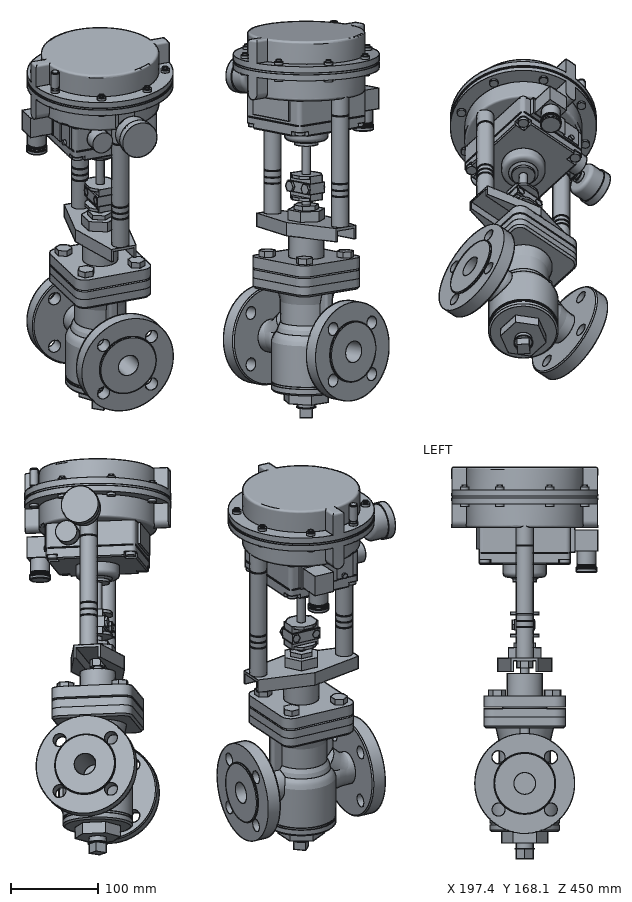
import cadquery as cq
import math


stem_dia = 10
stem_seat_depth = 5
groove_width = 1.2
groove_depth = 0.6
cut_margin = 1

casing_top_z = 363.4
casing_bottom_z = 293.7
casing_dia = 135
casing_edge_fillet = 2.8
rim_dia = 168
rim_top_z = 337.2
rim_bottom_z = 320.8
rim_gap_z = 328.8
rim_gap_width = 2.2
rim_gap_depth = 0.8
rib_width = 15

screw_count = 8
screw_circle_dia = 149.5
screw_head_dia = 10
screw_head_height = 3
screw_tip_dia = 6
screw_tip_height = 5.5
screw_socket_dia = 4
screw_socket_depth = 2
tall_stud_dia = 9.6
tall_stud_end_dia = 8
tall_stud_end_height = 1.5
tall_stud_angle = 292.5

box_x = 92
box_y = 105
box_bottom_z = 251.5
box_corner_radius = 5
box_seam_z = 264.8
box_bottom_chamfer = 1.5
box_notch = 13.5
box_notch_height = 5.5
box_screw_dia = 12
box_screw_bottom_z = 253
hub_dia = 50
hub_bottom_z = 236.8
hub_fillet = 5
hub_collar_top_dia = 34
hub_collar_dia = 27
hub_collar_height = 5.2
hub_collar_cone_height = 2

front_panel_edges_x = (-34.3, -5.2, 14.3, 37)
front_panel_faces_y = (-57.5, -56.5, -54.5)
front_panel_bottom_z = 265.5
knob_x = 24.7
knob_z = 269
knob_dia = 6
back_plate_y = 55.3
back_plate_width = 60
back_plate_bottom_z = 269
conduit_dia = 25
conduit_neck_dia = 22
conduit_start_x = 48
conduit_end_x = 64.2
conduit_y = -25
conduit_z = 279.3

connector_x = -19.3
connector_width = 24.8
connector_outer_y = -84.05
connector_top_z = 291.2
connector_bottom_z = 266.8
gland_y = -71
gland_dia = 22
gland_bottom_z = 242.4
gland_grooves_z = (251, 246.8)
gland_ring_dia = 24
gland_ring_height = 6.8
gland_ring_chamfer = 1
gland_groove_depth = 1

gauge_z = 298.8
gauge_end_x = 113.41
gauge_body_dia = 40
gauge_body_start_x = 85.8
gauge_rim_dia = 43
gauge_rim_length = 8.8
gauge_body_fillet = 4.5
gauge_neck_dia = 10
gauge_nut_dia = 15
gauge_nut_length = 4
gauge_washer_dia = 20
gauge_washer_end_x = 76.8
gauge_washer_length = 1.5
gauge_block_width = 20
gauge_block_bottom_z = 291.4
gauge_block_fillet = 7.5

column_dia = 20
column_x = 57.5
column_grooves_z = (273.5, 194.3, 186.5, 179.5)
yoke_top_z = 144
yoke_bottom_z = 128.4
yoke_length = 134.6
yoke_middle_width = 62.4
yoke_end_width = 31
yoke_channel_width = 25.4
yoke_skin = 3.2
yoke_nut_flats = 37.4
yoke_nut_height = 12
lock_nut_flats = 25
lock_nut_height = 5.3
lower_nut_flats = 16
lower_nut_height = 8

coupling_top_z = 197
coupling_bottom_z = 168
coupling_half_x = 17.4
coupling_half_y = 16.4
coupling_plate = 3.5
coupling_core_y = 18
clamp_half_x = 18.5
clamp_depth = 23
clamp_bottom_z = 176.1
clamp_top_z = 188.5
clamp_bolt_x = 13.3
clamp_bolt_dia = 10
clamp_bolt_head = 0.5
clamp_nut_dia = 13
clamp_nut_height = 3

plate_side = 94
plate_corner_radius = 12.5
neck_dia = 40.6
neck_top_z = 126.4
bonnet_plate_top_z = 100.6
bonnet_plate_bottom_z = 87.6
spacer_dia = 51
lower_plate_top_z = 85.8
joint_z = 76
bolt_spacing = 63.6
bolt_flats = 17
bolt_head_height = 6.8

body_plate_bottom_z = 63.7
body_plate_chamfer = 2.5
cone_top_radius = 33.2
throat_radius = 29.5
cone_bottom_z = 48.8
throat_bottom_z = 24.6
barrel_collar_radius = 32.5
barrel_collar_z = 19.2
shoulder_radius = 34
shoulder_z = 14
shoulder_bulge = 1
body_dia = 80
body_top_z = 2.6
body_bottom_z = -45.2
side_rib_half_x = 40.5
side_rib_fillet = 3
side_rib_width = 10.5
flange_dia = 115
flange_face_x = 78.4
flange_back_x = 61.3
flange_back_chamfer = 1.5
raised_face_dia = 71
raised_face_x = 80.6
raised_face_chamfer = 1
port_dia = 25
port_depth = 60
pipe_dia = 38
pipe_root_dia = 41
pipe_taper_x = 49.6
bolt_circle_dia = 85
flange_hole_dia = 15
flange_hole_count = 4
elbow_dia = 37
elbow_angle = 41
elbow_bend_radius = 37
elbow_straight = 13

cover_bottom_z = -55.4
cover_chamfer = 2
cover_neck_dia = 78
cover_neck_height = 2.4
cover_hex_flats = 46
cover_hex_height = 13.1
drain_dia = 20
drain_collar_dia = 22
drain_collar_z = -75.5
drain_collar_height = 1
drain_bottom_z = -86.6


def cylinder_z(dia, bottom, top, x=0, y=0):
    """Upright cylinder between two heights."""
    return cq.Workplane("XY", (x, y, bottom)).circle(dia / 2).extrude(top - bottom)


def cylinder_x(dia, start, end, y=0, z=0):
    """Cylinder along X between two X positions."""
    return cq.Workplane("YZ", (start, y, z)).circle(dia / 2).extrude(end - start)


def block(x0, x1, y0, y1, z0, z1):
    """Box between two opposite corners."""
    return cq.Workplane("XY").box(x1 - x0, y1 - y0, z1 - z0, False).translate((x0, y0, z0))


def hexagon_z(flats, bottom, height, x=0, y=0):
    """Upright hexagonal prism with two corners on its X axis."""
    corner_dia = flats / math.cos(math.pi / 6)
    return cq.Workplane("XY", (x, y, bottom)).polygon(6, corner_dia).extrude(height)


def ring_groove(dia, depth, width, z, x=0, y=0):
    """Ring to cut from an upright cylinder of the given diameter."""
    ring = cq.Workplane("XY", (x, y, z - width / 2)).circle(dia / 2 + cut_margin).circle(dia / 2 - depth)
    return ring.extrude(width)


def square_plate(bottom, top):
    """Square flange plate with rounded corners."""
    plate = cq.Workplane("XY", (0, 0, bottom)).rect(plate_side, plate_side).extrude(top - bottom)
    return plate.edges("|Z").fillet(plate_corner_radius)


def make_casing():
    casing = cylinder_z(casing_dia, casing_bottom_z, casing_top_z)
    casing = casing.faces("<Z or >Z").edges().fillet(casing_edge_fillet)
    rim = cylinder_z(rim_dia, rim_bottom_z, rim_top_z)
    casing = casing.union(rim).union(make_casing_ribs())
    return casing.cut(ring_groove(rim_dia, rim_gap_depth, rim_gap_width, rim_gap_z))


def make_casing_ribs():
    """Bar across the casing that forms the +Y and -Y ribs, half-round at its lower end."""
    half = rib_width / 2
    outline = (
        cq.Workplane("XZ")
        .moveTo(-half, casing_top_z)
        .lineTo(-half, casing_bottom_z + half)
        .threePointArc((0, casing_bottom_z), (half, casing_bottom_z + half))
        .lineTo(half, casing_top_z)
        .close()
    )
    ribs = outline.extrude(rim_dia / 2, both=True)
    ribs = ribs.intersect(cylinder_z(rim_dia, casing_bottom_z, casing_top_z))
    return ribs.faces(">Z").edges().fillet(casing_edge_fillet)


def make_casing_screw(angle):
    """Screw through the rim with a nut below; a socketed tip or, at one place, a tall stud on top."""
    x = screw_circle_dia / 2 * math.cos(math.radians(angle))
    y = screw_circle_dia / 2 * math.sin(math.radians(angle))
    head_top = rim_top_z + screw_head_height
    tip_top = rim_top_z + screw_tip_height
    screw = cylinder_z(screw_head_dia, rim_bottom_z - screw_head_height, head_top, x, y)
    if angle == tall_stud_angle:
        end_top = casing_top_z - groove_depth
        screw = screw.union(cylinder_z(tall_stud_end_dia, rim_top_z, end_top, x, y))
        tube_top = end_top - tall_stud_end_height
        return screw.union(cylinder_z(tall_stud_dia, tip_top, tube_top, x, y))
    screw = screw.union(cylinder_z(screw_tip_dia, rim_top_z, tip_top, x, y))
    return screw.cut(cylinder_z(screw_socket_dia, tip_top - screw_socket_depth, tip_top, x, y))


def make_positioner_box():
    half_x = box_x / 2
    half_y = box_y / 2
    box = block(-half_x, half_x, -half_y, half_y, box_bottom_z, casing_bottom_z)
    box = box.edges("|Z").fillet(box_corner_radius)
    box = box.faces("<Z").edges().chamfer(box_bottom_chamfer)
    seam = cq.Workplane("XY", (0, 0, box_seam_z - groove_width / 2))
    seam = seam.rect(box_x + 2 * cut_margin, box_y + 2 * cut_margin)
    seam = seam.rect(box_x - 2 * groove_depth, box_y - 2 * groove_depth).extrude(groove_width)
    box = box.cut(seam)
    notch_x = half_x - box_notch / 2
    notch_y = half_y - box_notch / 2
    notch_top = box_bottom_z + box_notch_height
    for side_x in (-1, 1):
        for side_y in (-1, 1):
            x = side_x * notch_x
            y = side_y * notch_y
            notch = cq.Workplane("XY", (x, y, box_bottom_z)).rect(box_notch, box_notch)
            box = box.cut(notch.extrude(box_notch_height))
            box = box.union(cylinder_z(box_screw_dia, box_screw_bottom_z, notch_top, x, y))
    return box


def make_hub():
    """Round stem guide under the box, ending in a short flared collar."""
    collar_bottom_z = hub_bottom_z - hub_collar_height
    hub = cylinder_z(hub_dia, hub_bottom_z, box_bottom_z).faces("<Z").edges().fillet(hub_fillet)
    collar = cylinder_z(hub_collar_dia, collar_bottom_z, hub_bottom_z)
    cone = (
        cq.Workplane("XY", (0, 0, hub_bottom_z))
        .circle(hub_collar_top_dia / 2)
        .workplane(offset=-hub_collar_cone_height)
        .circle(hub_collar_dia / 2)
        .loft()
    )
    return hub.union(collar).union(cone)


def make_box_panels():
    """Raised panels on the front and back of the box, and the conduit entry on its +X side."""
    box_front_y = -box_y / 2
    top = casing_bottom_z
    panels = cylinder_x(conduit_neck_dia, box_x / 2, conduit_start_x, conduit_y, conduit_z)
    panels = panels.union(
        cylinder_x(conduit_dia, conduit_start_x, conduit_end_x, conduit_y, conduit_z)
    )
    for index, face_y in enumerate(front_panel_faces_y):
        left, right = front_panel_edges_x[index:index + 2]
        panels = panels.union(block(left, right, face_y, box_front_y, front_panel_bottom_z, top))
    knob = cq.Workplane("XZ", (knob_x, box_front_y, knob_z)).circle(knob_dia / 2)
    panels = panels.union(knob.extrude(box_front_y - front_panel_faces_y[0]))
    half = back_plate_width / 2
    return panels.union(block(-half, half, box_y / 2, back_plate_y, back_plate_bottom_z, top))


def make_connector():
    left = connector_x - connector_width / 2
    right = connector_x + connector_width / 2
    inner_y = front_panel_faces_y[0]
    connector = block(left, right, connector_outer_y, inner_y, connector_bottom_z, connector_top_z)
    gland = cylinder_z(gland_dia, gland_bottom_z, connector_bottom_z, connector_x, gland_y)
    ring_top_z = gland_bottom_z + gland_ring_height
    ring = cylinder_z(gland_ring_dia, gland_bottom_z, ring_top_z, connector_x, gland_y)
    ring = ring.edges().chamfer(gland_ring_chamfer)
    connector = connector.union(gland).union(ring)
    for z in gland_grooves_z:
        groove = ring_groove(gland_dia, gland_groove_depth, groove_width, z, connector_x, gland_y)
        connector = connector.cut(groove)
    return connector


def make_gauge():
    """Pressure gauge on a block under the rim, with its neck, nut and washer."""
    half = gauge_block_width / 2
    washer_start_x = gauge_washer_end_x - gauge_washer_length
    nut_start_x = gauge_body_start_x - gauge_nut_length
    rim_start_x = gauge_end_x - gauge_rim_length
    inside_x = casing_dia / 2 - casing_edge_fillet
    gauge = block(inside_x, washer_start_x, -half, half, gauge_block_bottom_z, rim_bottom_z)
    gauge = gauge.edges("|X and <Z").fillet(gauge_block_fillet)
    gauge = gauge.union(cylinder_x(gauge_washer_dia, washer_start_x, gauge_washer_end_x, 0, gauge_z))
    gauge = gauge.union(cylinder_x(gauge_neck_dia, gauge_washer_end_x, gauge_body_start_x, 0, gauge_z))
    gauge = gauge.union(cylinder_x(gauge_nut_dia, nut_start_x, gauge_body_start_x, 0, gauge_z))
    dial = cylinder_x(gauge_body_dia, gauge_body_start_x, gauge_end_x, 0, gauge_z)
    dial = dial.faces("<X").edges().fillet(gauge_body_fillet)
    rim = cylinder_x(gauge_rim_dia, rim_start_x, gauge_end_x, 0, gauge_z)
    return gauge.union(dial).union(rim)


def make_column(x):
    column = cylinder_z(column_dia, yoke_top_z, casing_bottom_z + casing_edge_fillet, x)
    for z in column_grooves_z:
        column = column.cut(ring_groove(column_dia, groove_depth, groove_width, z, x))
    return column


def make_yoke():
    """Six-sided plate with a channel along its underside and nuts around the stem."""
    half_length = yoke_length / 2
    half_middle = yoke_middle_width / 2
    half_end = yoke_end_width / 2
    corners = [
        (-half_length, -half_end),
        (0, -half_middle),
        (half_length, -half_end),
        (half_length, half_end),
        (0, half_middle),
        (-half_length, half_end),
    ]
    skin_bottom_z = yoke_top_z - yoke_skin
    yoke = cq.Workplane("XY", (0, 0, yoke_bottom_z)).polyline(corners).close()
    yoke = yoke.extrude(yoke_top_z - yoke_bottom_z)
    half_channel = yoke_channel_width / 2
    yoke = yoke.cut(
        block(-half_length, half_length, -half_channel, half_channel, yoke_bottom_z, skin_bottom_z)
    )
    yoke = yoke.union(hexagon_z(yoke_nut_flats, yoke_top_z, yoke_nut_height))
    yoke = yoke.union(hexagon_z(lock_nut_flats, yoke_top_z + yoke_nut_height, lock_nut_height))
    lower_nut = hexagon_z(lower_nut_flats, skin_bottom_z - lower_nut_height, lower_nut_height)
    return yoke.union(lower_nut.rotate((0, 0, 0), (0, 0, 1), 90))


stem_top_z = hub_bottom_z - hub_collar_height + stem_seat_depth
stem_bottom_z = neck_top_z - stem_seat_depth

actuator = make_casing()
for index in range(screw_count):
    actuator = actuator.union(make_casing_screw((index + 0.5) * 360 / screw_count))
actuator = actuator.union(make_positioner_box()).union(make_hub()).union(make_box_panels())
actuator = actuator.union(make_connector()).union(make_gauge())
for column_side in (-1, 1):
    actuator = actuator.union(make_column(column_side * column_x))
actuator = actuator.union(make_yoke())
actuator = actuator.cut(cylinder_z(stem_dia, stem_bottom_z, stem_top_z))


def make_coupling_plate(bottom):
    """Thin disc with flats on its -Y and +Y sides."""
    top = bottom + coupling_plate
    disc = cylinder_z(2 * coupling_half_x, bottom, top)
    flats = block(
        -coupling_half_x, coupling_half_x, -coupling_half_y, coupling_half_y, bottom, top
    )
    return disc.intersect(flats)


def make_stem():
    stem = cylinder_z(stem_dia, stem_bottom_z, stem_top_z)
    stem = stem.union(make_coupling_plate(coupling_bottom_z))
    stem = stem.union(make_coupling_plate(coupling_top_z - coupling_plate))
    half_core = coupling_core_y / 2
    core = block(
        -coupling_half_x, coupling_half_x, -half_core, half_core, coupling_bottom_z, coupling_top_z
    )
    half_clamp = clamp_depth / 2
    clamp = block(-clamp_half_x, clamp_half_x, -half_clamp, half_clamp, clamp_bottom_z, clamp_top_z)
    bolt_z = (clamp_bottom_z + clamp_top_z) / 2
    bolt_places = [(-clamp_bolt_x, 0), (clamp_bolt_x, 0)]
    bolts = cq.Workplane("XZ", (0, -half_clamp, bolt_z)).pushPoints(bolt_places)
    bolts = bolts.polygon(6, clamp_bolt_dia).extrude(clamp_bolt_head)
    nuts = cq.Workplane("XZ", (0, half_clamp, bolt_z)).pushPoints(bolt_places)
    nuts = nuts.polygon(6, clamp_nut_dia).extrude(-clamp_nut_height)
    return stem.union(core).union(clamp).union(bolts).union(nuts)


stem = make_stem()


def make_bonnet():
    bonnet = square_plate(bonnet_plate_bottom_z, bonnet_plate_top_z)
    bonnet = bonnet.union(cylinder_z(neck_dia, bonnet_plate_top_z, neck_top_z))
    bonnet = bonnet.union(square_plate(joint_z, lower_plate_top_z))
    bonnet = bonnet.union(cylinder_z(spacer_dia, lower_plate_top_z, bonnet_plate_bottom_z))
    for side_x in (-1, 1):
        for side_y in (-1, 1):
            x = side_x * bolt_spacing / 2
            y = side_y * bolt_spacing / 2
            head = hexagon_z(bolt_flats, bonnet_plate_top_z, bolt_head_height, x, y)
            if side_x != side_y:
                head = head.rotate((x, y, 0), (x, y, 1), 90)
            bonnet = bonnet.union(head)
    return bonnet.cut(cylinder_z(stem_dia, stem_bottom_z, neck_top_z))


bonnet = make_bonnet()


def make_body_barrel():
    """Turned barrel: cone under the plate, throat, domed shoulder and wide lower cylinder."""
    body_radius = body_dia / 2
    middle_z = (shoulder_z + body_top_z) / 2
    dome_radius = (shoulder_radius + body_radius) / 2 + shoulder_bulge
    profile = (
        cq.Workplane("XZ")
        .moveTo(0, body_plate_bottom_z)
        .lineTo(cone_top_radius, body_plate_bottom_z)
        .lineTo(throat_radius, cone_bottom_z)
        .lineTo(throat_radius, throat_bottom_z)
        .lineTo(barrel_collar_radius, barrel_collar_z)
        .lineTo(shoulder_radius, shoulder_z)
        .threePointArc((dome_radius, middle_z), (body_radius, body_top_z))
        .lineTo(body_radius, body_bottom_z)
        .lineTo(0, body_bottom_z)
        .close()
    )
    return profile.revolve(360, (0, 0, 0), (0, 1, 0))


def make_port_flange():
    """Pipe stub and flange on the +X side with its bolt holes."""
    flange = cylinder_x(flange_dia, flange_back_x, flange_face_x)
    flange = flange.faces("<X").edges().chamfer(flange_back_chamfer)
    face = cylinder_x(raised_face_dia, flange_face_x, raised_face_x)
    face = face.faces(">X").edges().chamfer(raised_face_chamfer)
    holes = (
        cq.Workplane("YZ", (flange_back_x, 0, 0))
        .polarArray(bolt_circle_dia / 2, 180 / flange_hole_count, 360, flange_hole_count)
        .circle(flange_hole_dia / 2)
        .extrude(flange_face_x - flange_back_x)
    )
    pipe = (
        cq.Workplane("XZ")
        .moveTo(0, 0)
        .lineTo(flange_back_x, 0)
        .lineTo(flange_back_x, pipe_dia / 2)
        .lineTo(pipe_taper_x, pipe_dia / 2)
        .lineTo(body_dia / 2, pipe_root_dia / 2)
        .lineTo(0, pipe_root_dia / 2)
        .close()
        .revolve(360, (0, 0, 0), (1, 0, 0))
    )
    return flange.union(face).cut(holes).union(pipe)


def make_outlet_elbow():
    """Pipe that leaves the outlet flange, bends upward and slopes into the barrel."""

    def bend_point(degrees):
        turn = math.radians(degrees)
        return (
            flange_back_x - elbow_bend_radius * math.sin(turn),
            elbow_bend_radius * (1 - math.cos(turn)),
        )

    slope = math.radians(elbow_angle)
    bend_end = bend_point(elbow_angle)
    pipe_end = (
        bend_end[0] - elbow_straight * math.cos(slope),
        bend_end[1] + elbow_straight * math.sin(slope),
    )
    path = (
        cq.Workplane("XZ")
        .moveTo(flange_back_x, 0)
        .threePointArc(bend_point(elbow_angle / 2), bend_end)
        .lineTo(*pipe_end)
    )
    return cq.Workplane("YZ", (flange_back_x, 0, 0)).circle(elbow_dia / 2).sweep(path)


def make_valve_body():
    body = square_plate(body_plate_bottom_z, joint_z)
    body = body.faces("<Z").edges().chamfer(body_plate_chamfer)
    body = body.union(make_body_barrel())
    half = side_rib_width / 2
    ribs = block(-side_rib_half_x, side_rib_half_x, -half, half, 0, body_plate_bottom_z)
    body = body.union(ribs.edges("|Z").fillet(side_rib_fillet))
    body = body.union(make_outlet_elbow())
    flange = make_port_flange()
    body = body.union(flange).union(flange.mirror("YZ"))
    bore = cylinder_x(port_dia, raised_face_x - port_depth, raised_face_x)
    return body.cut(bore).cut(bore.mirror("YZ"))


valve_body = make_valve_body()


def make_bottom_cover():
    disc_top_z = body_bottom_z - cover_neck_height
    hex_bottom_z = cover_bottom_z - cover_hex_height
    disc = cylinder_z(body_dia, cover_bottom_z, disc_top_z).faces("<Z").edges().chamfer(cover_chamfer)
    cover = disc.union(cylinder_z(cover_neck_dia, disc_top_z, body_bottom_z))
    hexagon = hexagon_z(cover_hex_flats, hex_bottom_z, cover_hex_height)
    cover = cover.union(hexagon.rotate((0, 0, 0), (0, 0, 1), 90))
    cover = cover.union(cylinder_z(drain_dia, drain_collar_z, hex_bottom_z))
    collar_top_z = drain_collar_z + drain_collar_height
    cover = cover.union(cylinder_z(drain_collar_dia, drain_collar_z, collar_top_z))
    square = cq.Workplane("XY", (0, 0, drain_bottom_z)).polygon(4, drain_dia)
    return cover.union(square.extrude(drain_collar_z - drain_bottom_z))


bottom_cover = make_bottom_cover()

result = cq.Compound.makeCompound(
    [actuator.val(), stem.val(), bonnet.val(), valve_body.val(), bottom_cover.val()]
)